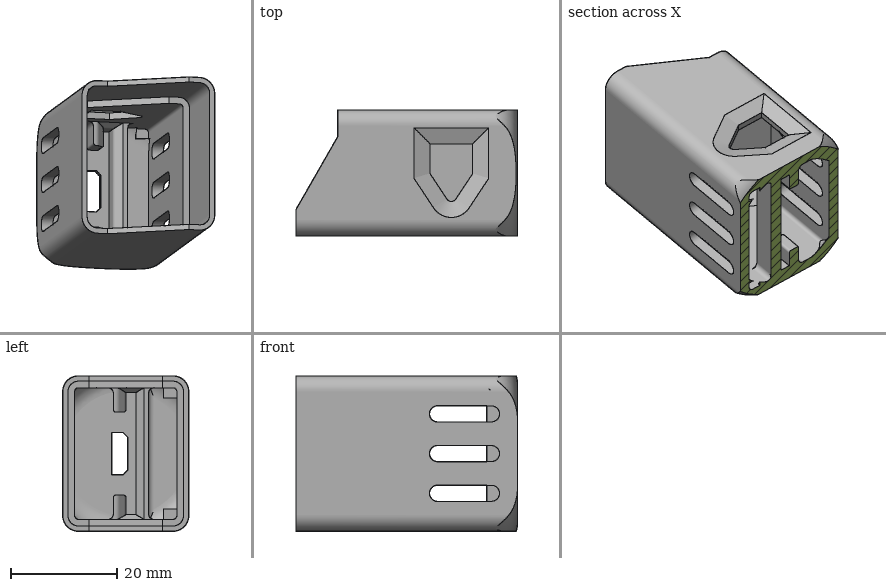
import cadquery as cq
import math

LENGTH = 41.75
WIDTH = 23.75
HEIGHT = 29.25
CORNER_RADIUS = 3.0

WALL = 2.25
RIM_WALL = 1.0
RIM_DEPTH = 15.05
END_WALL = 1.0
FLOOR_X = LENGTH - END_WALL

DOME_RADIUS = 17.65
DOME_FILLET = 4.65
CAVITY_DOME_RADIUS = 15.55
CAVITY_DOME_FILLET = 3.75

SLANT_LENGTH = 7.9
SLANT_HALF_WIDTH = 6.9

SLOT_COUNT = 3
SLOT_PITCH = 7.47
SLOT_START = 25.18
SLOT_END = 38.33
SLOT_HEIGHT = 3.0

WINDOW_X = 29.25
WINDOW_HALF_WIDTH = 4.0
WINDOW_BACK_Y = 5.5
WINDOW_TIP_HALF_ANGLE = 33.5
WINDOW_TIP_CENTER_Y = -4.35
WINDOW_TIP_RADIUS = 1.0
WINDOW_BEVEL_WIDTH = 3.0
WINDOW_BEVEL_DEPTH = 1.0

HOLDER_TIP_X = 35.9
HOLDER_ROOT_X = FLOOR_X + END_WALL / 2
BOARD_Y_MIN = -1.9
BOARD_Y_MAX = -0.05
BOARD_HALF_LENGTH = 11.5
LEAD_IN = 1.5
HOLDER_ROUND = 1.0
RIB_BACK_Y = -4.3
GUIDE_BACK_Y = 2.35
GUIDE_INNER_Z = 7.8
GUIDE_CORNER_RADIUS = 0.5

PORT_Y_MIN = -0.38
PORT_Y_MAX = 2.65
PORT_HEIGHT = 7.9
PORT_CHAMFER = 0.88

SQUARE_CORNER_Y = -7.1
SQUARE_CORNER_Z = 10.45

OVERLAP = 0.4
cavity_half_height = HEIGHT / 2 - WALL


def rounded_bar(inset, x_start, x_end):
    """Rounded rectangle, inset from the outer outline, extruded along X."""
    bar = (
        cq.Workplane("YZ", origin=(x_start, 0, 0))
        .rect(WIDTH - 2 * inset, HEIGHT - 2 * inset)
        .extrude(x_end - x_start)
    )
    return bar.edges("|X").fillet(CORNER_RADIUS - inset)


def turned_bar(radius, fillet, x_start, x_end):
    """Cylinder about X whose +X edge is rounded."""
    bar = cq.Workplane("YZ", origin=(x_start, 0, 0)).circle(radius).extrude(x_end - x_start)
    return bar.faces(">X").edges().fillet(fillet)


def behind_slant(x_shift):
    """Everything on the +X side of the slanted mouth line, moved along X."""
    far_x = LENGTH + OVERLAP
    return (
        cq.Workplane("XY", origin=(0, 0, -HEIGHT))
        .moveTo(x_shift, -WIDTH)
        .lineTo(x_shift, -SLANT_HALF_WIDTH)
        .lineTo(x_shift + SLANT_LENGTH, SLANT_HALF_WIDTH)
        .lineTo(x_shift + SLANT_LENGTH, WIDTH)
        .lineTo(far_x, WIDTH)
        .lineTo(far_x, -WIDTH)
        .close()
        .extrude(2 * HEIGHT)
    )


def make_shell():
    """Outer body with its thin-walled mouth and main cavity removed."""
    outside = rounded_bar(0, 0, LENGTH).intersect(turned_bar(DOME_RADIUS, DOME_FILLET, 0, LENGTH))
    outside = outside.intersect(behind_slant(0))
    mouth = rounded_bar(RIM_WALL, -OVERLAP, FLOOR_X).cut(behind_slant(RIM_DEPTH))
    return outside.cut(mouth).cut(make_cavity())


def make_cavity():
    """Main cavity: its end is rounded, except in two square-cut corners on the -Y side."""
    cavity_end = turned_bar(CAVITY_DOME_RADIUS, CAVITY_DOME_FILLET, 0, FLOOR_X)
    for side in (-1, 1):
        square_corner = (
            cq.Workplane("YZ")
            .moveTo(SQUARE_CORNER_Y, side * SQUARE_CORNER_Z)
            .lineTo(-WIDTH, side * SQUARE_CORNER_Z)
            .lineTo(-WIDTH, side * HEIGHT)
            .lineTo(SQUARE_CORNER_Y, side * HEIGHT)
            .close()
            .extrude(FLOOR_X)
        )
        cavity_end = cavity_end.union(square_corner)
    return rounded_bar(WALL, 0, FLOOR_X).intersect(cavity_end)


def make_side_slots():
    """Round-ended slots running through both Y walls."""
    return (
        cq.Workplane("XZ")
        .center((SLOT_START + SLOT_END) / 2, 0)
        .rarray(0.4, SLOT_PITCH, 1, SLOT_COUNT)
        .slot2D(SLOT_END - SLOT_START, SLOT_HEIGHT)
        .extrude(WIDTH, both=True)
    )


def window_outline(z, margin):
    """Five-sided outline with a round tip towards -Y, at height z, grown by margin on every side."""
    half_width = WINDOW_HALF_WIDTH + margin
    tip_radius = WINDOW_TIP_RADIUS + margin
    half_angle = math.radians(WINDOW_TIP_HALF_ANGLE)
    tangent_x = tip_radius * math.cos(half_angle)
    tangent_y = WINDOW_TIP_CENTER_Y - tip_radius * math.sin(half_angle)
    shoulder_y = tangent_y + (half_width - tangent_x) / math.tan(half_angle)
    return (
        cq.Workplane("XY", origin=(WINDOW_X, 0, z))
        .moveTo(-half_width, WINDOW_BACK_Y + margin)
        .lineTo(half_width, WINDOW_BACK_Y + margin)
        .lineTo(half_width, shoulder_y)
        .lineTo(tangent_x, tangent_y)
        .threePointArc((0, WINDOW_TIP_CENTER_Y - tip_radius), (-tangent_x, tangent_y))
        .lineTo(-half_width, shoulder_y)
        .close()
    )


def make_window():
    """Opening through the top wall with a wide bevel around it."""
    top_z = HEIGHT / 2
    bevel_z = top_z - WINDOW_BEVEL_DEPTH
    opening = window_outline(cavity_half_height - OVERLAP, 0).extrude(WALL + OVERLAP)
    bevel = cq.Solid.makeLoft(
        [
            window_outline(bevel_z, 0).val(),
            window_outline(top_z, WINDOW_BEVEL_WIDTH).val(),
        ],
        True,
    )
    return opening.union(cq.Workplane(bevel))


def near(x, y, z=0):
    """Selector for the edge whose middle is closest to a point."""
    return cq.selectors.NearestToPointSelector((x, y, z))


def make_wall_fillets():
    """Concave fillets where the outer sides of the rib and the guides meet the Z walls."""
    fillets = cq.Workplane("YZ")
    for side_y, direction in ((RIB_BACK_Y, -1), (GUIDE_BACK_Y, 1)):
        corner = (
            cq.Workplane("YZ", origin=(HOLDER_TIP_X, 0, 0))
            .moveTo(side_y - direction * OVERLAP, cavity_half_height - HOLDER_ROUND)
            .lineTo(side_y, cavity_half_height - HOLDER_ROUND)
            .radiusArc((side_y + direction * HOLDER_ROUND, cavity_half_height), direction * HOLDER_ROUND)
            .lineTo(side_y + direction * HOLDER_ROUND, cavity_half_height + OVERLAP)
            .lineTo(side_y - direction * OVERLAP, cavity_half_height + OVERLAP)
            .close()
            .extrude(FLOOR_X - HOLDER_TIP_X)
        )
        fillets = fillets.union(corner).union(corner.mirror("XY"))
    return fillets


def make_rib():
    """Full-height rib on the -Y side of the board, with a lead-in and a filleted foot."""
    rib = (
        cq.Workplane("XY")
        .moveTo(HOLDER_ROOT_X, BOARD_Y_MIN)
        .lineTo(HOLDER_TIP_X + LEAD_IN, BOARD_Y_MIN)
        .lineTo(HOLDER_TIP_X, BOARD_Y_MIN - LEAD_IN)
        .lineTo(HOLDER_TIP_X, RIB_BACK_Y)
        .lineTo(FLOOR_X, RIB_BACK_Y)
        .lineTo(FLOOR_X, RIB_BACK_Y - 2 * HOLDER_ROUND)
        .lineTo(HOLDER_ROOT_X, RIB_BACK_Y - 2 * HOLDER_ROUND)
        .close()
        .extrude(cavity_half_height + OVERLAP, both=True)
    )
    rib = rib.edges(near(HOLDER_TIP_X + LEAD_IN, BOARD_Y_MIN)).fillet(HOLDER_ROUND)
    return rib.edges(near(FLOOR_X, RIB_BACK_Y)).fillet(HOLDER_ROUND)


def make_guides():
    """Short guides on the +Y side of the board, one at each end of it."""
    profile = (
        cq.Workplane("XY")
        .moveTo(HOLDER_ROOT_X, BOARD_Y_MAX)
        .lineTo(HOLDER_TIP_X + LEAD_IN, BOARD_Y_MAX)
        .lineTo(HOLDER_TIP_X, BOARD_Y_MAX + LEAD_IN)
        .lineTo(HOLDER_TIP_X, GUIDE_BACK_Y)
        .lineTo(HOLDER_ROOT_X, GUIDE_BACK_Y)
        .close()
        .extrude(cavity_half_height + OVERLAP, both=True)
    )
    profile = profile.edges(near(HOLDER_TIP_X + LEAD_IN, BOARD_Y_MAX)).fillet(HOLDER_ROUND)
    profile = profile.edges(near(HOLDER_TIP_X, BOARD_Y_MAX + LEAD_IN)).fillet(HOLDER_ROUND)
    guide_mid_y = (BOARD_Y_MAX + GUIDE_BACK_Y) / 2
    footprint = (
        cq.Workplane("YZ", origin=(HOLDER_TIP_X, 0, 0))
        .pushPoints([(guide_mid_y, -HEIGHT / 2), (guide_mid_y, HEIGHT / 2)])
        .rect(GUIDE_BACK_Y - BOARD_Y_MAX, HEIGHT - 2 * GUIDE_INNER_Z)
        .extrude(LENGTH - HOLDER_TIP_X)
        .edges("|X")
        .fillet(GUIDE_CORNER_RADIUS)
    )
    return profile.intersect(footprint)


def make_end_stops():
    """Sloped stops between rib and guide that locate the two ends of the board."""
    stop = (
        cq.Workplane("XZ", origin=(0, BOARD_Y_MIN - LEAD_IN, 0))
        .moveTo(HOLDER_ROOT_X, BOARD_HALF_LENGTH)
        .lineTo(HOLDER_TIP_X + LEAD_IN, BOARD_HALF_LENGTH)
        .lineTo(HOLDER_TIP_X, cavity_half_height)
        .lineTo(HOLDER_TIP_X, cavity_half_height + OVERLAP)
        .lineTo(HOLDER_ROOT_X, cavity_half_height + OVERLAP)
        .close()
        .extrude(-(BOARD_Y_MAX - BOARD_Y_MIN + 2 * LEAD_IN))
    )
    board_mid_y = (BOARD_Y_MIN + BOARD_Y_MAX) / 2
    stop = stop.edges(near(HOLDER_TIP_X + LEAD_IN, board_mid_y, BOARD_HALF_LENGTH)).fillet(HOLDER_ROUND)
    return stop.union(stop.mirror("XY"))


def make_port():
    """Opening through the end wall with its two -Y corners cut off."""
    port = (
        cq.Workplane("YZ", origin=(HOLDER_TIP_X, 0, 0))
        .center((PORT_Y_MIN + PORT_Y_MAX) / 2, 0)
        .rect(PORT_Y_MAX - PORT_Y_MIN, PORT_HEIGHT)
        .extrude(LENGTH)
    )
    return port.edges("|X and <Y").chamfer(PORT_CHAMFER)


result = (
    make_shell()
    .cut(make_side_slots())
    .cut(make_window())
    .union(make_rib())
    .union(make_guides())
    .union(make_end_stops())
    .union(make_wall_fillets())
    .cut(make_port())
)